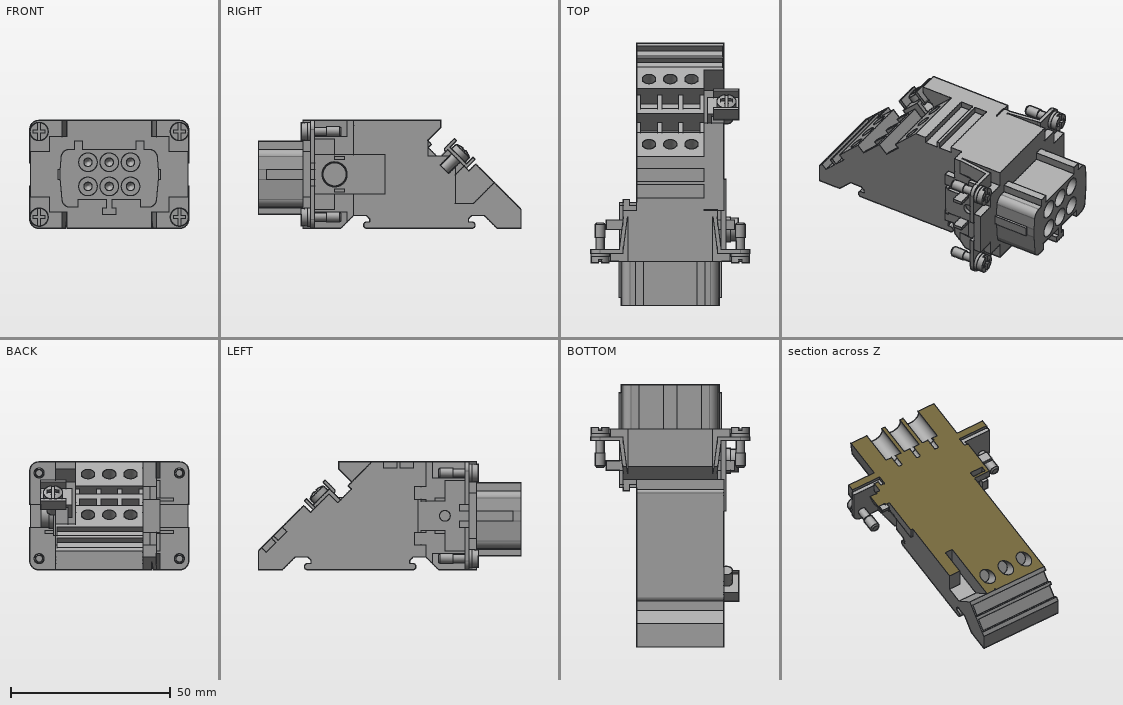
import cadquery as cq
import math

length = 82.5
height = 34.0
mid_z = height / 2
clear = 16.5

terminal_half = 10.6
housing_right = 16.8
slope_foot_z = 6.0
earth_block_back = 57.3
pole_pitch = 6.7
poles_x = (-pole_pitch, 0, pole_pitch)
lower_step_s = 20.1
middle_step_s = 28.3
upper_step_s = 34.3
lower_n = -3.05
middle_n = -6.9
upper_n = -5.45
window_width = 5.3
window_depth = 3.9
lower_window_length = 5.85
wire_hole_dia = 4.2
wire_hole_depth = 8.25

notch_height = 4.05
notch_bevel = 1.0
hook_height = 2.1
hook_radius = hook_height / 2

insert_half = 14.8
insert_back = 29.9
insert_front = 13.95
insert_bevel = 4.05
centre_half = 13.3
strip_slot_back = 27.9
strip_slot_depth = 5.1
flange_back = 16.4
flange_half = 24.75
flange_half_z = 7.2
step_half = 18.8
step_half_z = 11.9

nose_half = 15.4
key_half = 16.2
key_half_z = 1.6
key_front = 2.55
socket_z = (13.2, 20.8)
socket_dia = 5.85
socket_depth = 11.55
contact_dia = 2.6
contact_depth = 4.1

sheet = 1.2
bracket_half = 25.0
bracket_corner = 2.9
bracket_back = flange_back + sheet
leg_outer = insert_half + sheet
leg_back = 32.4
hook_front = 31.4
leg_shoulder = 23.9
leg_half_z = 4.6
shoulder_half_z = 11.05
tab_reach = 20.1
tab_length = 3.05
tab_thickness = 1.0
rivet_hole_dia = 3.4
fixing_x = 22.0
fixing_offset_z = 13.45

earth_floor_n = -9.3
earth_start_s = 11.9
earth_end_s = 36.0
clamp_start_s = 21.3
clamp_end_s = 30.5
clamp_mid_s = (clamp_start_s + clamp_end_s) / 2
support_left = 11.6
clamp_left = 13.5
clamp_right = 21.5
clamp_base_n = -2.0
clamp_sheet = 1.0
earth_screw_x = 17.65


def box(x0, x1, y0, y1, z0, z1):
    """Axis-aligned block between the given limits."""
    return cq.Workplane("XY").box(x1 - x0, y1 - y0, z1 - z0, centered=False).translate((x0, y0, z0))


def mid_box(x0, x1, y0, y1, half_z):
    """Block centred on mid height."""
    return box(x0, x1, y0, y1, mid_z - half_z, mid_z + half_z)


def side_profile(points, x0, x1):
    """Outline of (Y, Z) points extruded from x0 to x1."""
    return cq.Workplane("YZ").workplane(offset=x0).polyline(points).close().extrude(x1 - x0)


def on_slope(s, n):
    """(Y, Z) of a point given along and normal to the wiring face."""
    return (length + (n - s) / math.sqrt(2), slope_foot_z + (n + s) / math.sqrt(2))


def slope_box(x0, x1, s0, s1, n0, n1):
    """Block square to the wiring face."""
    corners = [on_slope(s0, n0), on_slope(s1, n0), on_slope(s1, n1), on_slope(s0, n1)]
    return side_profile(corners, x0, x1)


def slope_plane(x, s, n):
    """Workplane parallel to the wiring face, facing outward."""
    y, z = on_slope(s, n)
    return cq.Workplane(cq.Plane(origin=(x, y, z), xDir=(1, 0, 0), normal=(0, 1, 1)))


def front_plane(x, y, z):
    """Workplane facing the mating end."""
    return cq.Workplane(cq.Plane(origin=(x, y, z), xDir=(1, 0, 0), normal=(0, -1, 0)))


def mirrored_x(shape):
    return shape.union(shape.mirror("YZ"))


def mirrored_z(shape):
    return shape.union(shape.mirror("XY", (0, 0, mid_z)))


def cut_cross(head, top_plane, depth):
    """Cut a full slot and a shorter cross slot into a screw head."""
    slot_width = 1.0
    cross_length = 3.7
    head = head.cut(top_plane.rect(slot_width, clear).extrude(-depth))
    return head.cut(top_plane.rect(cross_length, slot_width).extrude(-depth))


earth_floor = on_slope(earth_start_s, earth_floor_n)
earth_roof = on_slope(earth_end_s, upper_n)


def housing_blank():
    """Side outline with the wiring face at the back and the rail foot below."""
    back_notch, back_undercut, back_hook = 75.0, 66.0, 68.1
    front_hook, front_undercut = 33.0, 34.9
    slope_top_z = slope_foot_z + length - earth_block_back
    outline = (
        cq.Workplane("YZ").workplane(offset=-terminal_half)
        .moveTo(length, 0)
        .lineTo(length, slope_foot_z)
        .lineTo(earth_block_back, slope_top_z)
        .lineTo(earth_block_back, height)
        .lineTo(insert_back, height)
        .lineTo(insert_back, notch_height)
        .lineTo(front_undercut - notch_bevel, notch_height)
        .lineTo(front_undercut, notch_height - notch_bevel)
        .lineTo(front_undercut, hook_height)
        .lineTo(front_hook + hook_radius, hook_height)
        .threePointArc((front_hook, hook_radius), (front_hook + hook_radius, 0))
        .lineTo(back_hook - hook_radius, 0)
        .threePointArc((back_hook, hook_radius), (back_hook - hook_radius, hook_height))
        .lineTo(back_undercut, hook_height)
        .lineTo(back_undercut, notch_height - notch_bevel)
        .lineTo(back_undercut + notch_bevel, notch_height)
        .lineTo(back_notch - notch_height, notch_height)
        .lineTo(back_notch, 0)
        .close()
    )
    return outline.extrude(terminal_half + housing_right)


def cut_wiring_steps(body):
    """Step the wiring face down over the terminals."""
    steps = (
        (lower_step_s, middle_step_s, lower_n),
        (middle_step_s, upper_step_s, middle_n),
        (upper_step_s, upper_step_s + clear, upper_n),
    )
    for start_s, end_s, floor_n in steps:
        body = body.cut(slope_box(-terminal_half, terminal_half, start_s, end_s, floor_n, clear))
    return body


def cut_earth_recess(body):
    """Flat-floored recess that opens to the wiring face and to the +X side."""
    floor_y, floor_z = earth_floor
    roof_y, roof_z = earth_roof
    outline = [
        on_slope(earth_start_s, clear),
        (floor_y, floor_z),
        (roof_y, floor_z),
        (roof_y, roof_z),
        on_slope(earth_end_s, clear),
    ]
    return body.cut(side_profile(outline, terminal_half, housing_right))


def cut_terminals(body):
    """Screw windows on the two lower steps and a wire hole beside each one."""
    windows = (
        (lower_step_s, lower_step_s + lower_window_length, lower_n),
        (middle_step_s, upper_step_s, middle_n),
    )
    lower_hole_s, upper_hole_s = 16.0, 39.5
    wire_holes = ((lower_hole_s, 0), (upper_hole_s, upper_n))
    for x in poles_x:
        left, right = x - window_width / 2, x + window_width / 2
        for start_s, end_s, level_n in windows:
            body = body.cut(slope_box(left, right, start_s, end_s, level_n - window_depth, level_n))
        for hole_s, level_n in wire_holes:
            hole = slope_plane(x, hole_s, level_n).circle(wire_hole_dia / 2).extrude(-wire_hole_depth)
            body = body.cut(hole)
    return body


def cut_label_grooves(body):
    """Two label grooves on the wiring face and two on the top."""
    slope_groove_end = 16.3
    slope_groove_depth = 2.1
    for start_s, end_s in ((1.4, 5.7), (6.7, 10.6)):
        body = body.cut(
            slope_box(-terminal_half, slope_groove_end, start_s, end_s, -slope_groove_depth, 0)
        )
    top_groove_depth = 2.0
    top_groove_width = 4.2
    for front_y in (33.8, 38.9):
        body = body.cut(
            box(-terminal_half, terminal_half, front_y, front_y + top_groove_width,
                height - top_groove_depth, height)
        )
    return body


def insert_body():
    """Block carrying the contacts, with slots for the bracket strips."""
    body = box(-insert_half, insert_half, insert_front, insert_back, 0, height)
    strip_slot = box(centre_half, insert_half, insert_front, strip_slot_back,
                     height - strip_slot_depth, height)
    body = body.cut(mirrored_z(mirrored_x(strip_slot)))
    body = body.union(mid_box(-step_half, step_half, insert_front, flange_back, step_half_z))
    return body.union(mid_box(-flange_half, flange_half, insert_front, flange_back, flange_half_z))


def rail_bevel():
    """Cutter for the bottom rear edge of the insert and its bracket strips."""
    corner = [(insert_back, 0), (insert_back, insert_bevel), (insert_back - insert_bevel, 0)]
    return side_profile(corner, -leg_outer, leg_outer)


def latch_tabs():
    """Rear catches on the -X side, above and below the bracket leg."""
    catch_right, catch_back = -12.8, 33.4
    catch_bottom, catch_top = 22.2, 26.15
    catch = box(-insert_half, catch_right, insert_back, catch_back, catch_bottom, catch_top)
    bridge = box(-insert_half, -terminal_half, insert_back, hook_front, catch_bottom, catch_top)
    return mirrored_z(catch.union(bridge))


def seam_groove():
    """Narrow gap in the top between the insert and the housing's earth side."""
    gap, depth = 0.3, 1.65
    return box(terminal_half, insert_half, insert_back, insert_back + gap, height - depth, height)


def nose():
    """Mating end: faceted flanks, rounded corners and coding features."""
    top_z, bottom_z = 24.8, 6.7
    top_x, bottom_x = 12.6, 12.4
    shoulder_x, shoulder_z = 15.1, 22.6
    bilge_x, bilge_z = 14.85, 9.1
    bend = 0.75
    flank_low, flank_high = mid_z - key_half_z, mid_z + key_half_z
    upper_mid = (shoulder_x - bend, top_z - bend)
    lower_mid = (bilge_x - bend, bottom_z + bend)
    outline = (
        cq.Workplane("XZ")
        .moveTo(-bottom_x, bottom_z)
        .lineTo(bottom_x, bottom_z)
        .threePointArc(lower_mid, (bilge_x, bilge_z))
        .lineTo(nose_half, flank_low)
        .lineTo(nose_half, flank_high)
        .lineTo(shoulder_x, shoulder_z)
        .threePointArc(upper_mid, (top_x, top_z))
        .lineTo(-top_x, top_z)
        .threePointArc((-upper_mid[0], upper_mid[1]), (-shoulder_x, shoulder_z))
        .lineTo(-nose_half, flank_high)
        .lineTo(-nose_half, flank_low)
        .lineTo(-bilge_x, bilge_z)
        .threePointArc((-lower_mid[0], lower_mid[1]), (-bottom_x, bottom_z))
        .close()
    )
    body = outline.extrude(-insert_front)

    rib_inner, rib_outer, rib_top = 8.3, 10.9, 27.4
    body = body.union(mirrored_x(box(rib_inner, rib_outer, 0, insert_front, mid_z, rib_top)))
    body = body.union(mid_box(-key_half, key_half, key_front, insert_front, key_half_z))

    recess_half, recess_roof = 9.8, 9.15
    body = body.cut(box(-recess_half, recess_half, 0, insert_front, 0, recess_roof))
    stem_half, stem_foot = 0.8, 6.4
    foot_half, foot_bottom = 2.15, 4.45
    body = body.union(box(-stem_half, stem_half, 0, insert_front, stem_foot, recess_roof))
    return body.union(box(-foot_half, foot_half, 0, insert_front, foot_bottom, stem_foot))


def cut_sockets(body):
    """Six contact cavities, each with a cone-ended pin hole in its floor."""
    cone_length = contact_dia / 2
    for x in poles_x:
        for z in socket_z:
            cavity = front_plane(x, 0, z).circle(socket_dia / 2).extrude(-socket_depth)
            pin_hole = (
                cq.Workplane("XY")
                .lineTo(contact_dia / 2, 0)
                .lineTo(contact_dia / 2, contact_depth)
                .lineTo(0, contact_depth + cone_length)
                .close()
                .revolve(360, (0, 0, 0), (0, 1, 0))
                .translate((x, socket_depth, z))
            )
            body = body.cut(cavity).cut(pin_hole)
    return body


def bracket():
    """Bent bracket for the +X side: screw plate, leg, spring strips and tabs."""
    plate_notch_half_z = 3.6
    relief_length = 2.9
    relief_inner_z = 1.6
    plate = box(insert_half, bracket_half, flange_back, bracket_back, 0, height)
    plate = plate.edges("|Y and >X").fillet(bracket_corner)
    plate = plate.cut(
        mid_box(leg_outer, bracket_half, flange_back, bracket_back, plate_notch_half_z)
    )

    leg = mid_box(insert_half, leg_outer, flange_back, leg_back, leg_half_z)
    leg = leg.union(mid_box(insert_half, leg_outer, flange_back, leg_shoulder, shoulder_half_z))
    rivet_hole = (
        cq.Workplane("YZ").workplane(offset=insert_half)
        .center(leg_shoulder, mid_z)
        .circle(rivet_hole_dia / 2)
        .extrude(sheet)
    )
    relief = box(insert_half, leg_outer, flange_back, flange_back + relief_length,
                 mid_z + relief_inner_z, mid_z + plate_notch_half_z)
    reliefs = mirrored_z(relief)

    strip_tip = 13.45
    strip_outline = [
        (insert_half, flange_back),
        (leg_outer, flange_back),
        (leg_outer, bracket_back),
        (strip_tip + sheet, strip_slot_back),
        (strip_tip, strip_slot_back),
        (insert_half, bracket_back),
    ]
    strip = (
        cq.Workplane("XY").workplane(offset=height - strip_slot_depth)
        .polyline(strip_outline).close()
        .extrude(strip_slot_depth)
    )
    tab_z = mid_z + leg_half_z
    tab = box(insert_half, tab_reach, leg_shoulder, leg_shoulder + tab_length,
              tab_z, tab_z + tab_thickness)
    body = plate.union(leg).cut(rivet_hole).cut(reliefs)
    return body.union(mirrored_z(strip.union(tab)))


def leg_hook():
    """Rear end of the -X leg, bent inward behind the insert."""
    hook_half_z = 5.2
    return mid_box(-leg_outer, -terminal_half, hook_front, leg_back, hook_half_z)


def fixing_screw(x, z):
    """Flange screw: slotted head, washer, waisted shank and threaded end."""
    head_dia, head_front = 5.6, 13.45
    washer_dia, washer_front = 5.8, 15.4
    shank_dia, thread_dia = 2.6, 3.1
    thread_start, tip_y = 21.45, 26.0
    tip_bevel = 0.5
    slot_depth = 1.1
    head = front_plane(x, flange_back, z).circle(head_dia / 2).extrude(flange_back - head_front)
    head = cut_cross(head, front_plane(x, head_front, z), slot_depth)
    washer = front_plane(x, flange_back, z).circle(washer_dia / 2).extrude(flange_back - washer_front)
    shank = front_plane(x, thread_start, z).circle(shank_dia / 2).extrude(thread_start - flange_back)
    thread = front_plane(x, tip_y, z).circle(thread_dia / 2).extrude(tip_y - thread_start)
    return head.union(washer).union(shank).union(thread.faces(">Y").chamfer(tip_bevel))


def earth_support():
    """Web beside the pedestal that carries the clamp in the recess."""
    pedestal_left = 12.95
    support_bottom_n = -7.4
    pedestal_back, pedestal_top = 61.9, 22.8
    pedestal_front, floor_z = earth_roof[0], earth_floor[1]
    support = slope_box(support_left, pedestal_left, clamp_start_s + clamp_sheet,
                        clamp_end_s - clamp_sheet, support_bottom_n, clamp_base_n)
    pedestal = box(pedestal_left, housing_right, pedestal_front, pedestal_back,
                   floor_z, pedestal_top)
    return support.union(pedestal)


def earth_clamp():
    """U-shaped clamp, its base reaching over the support, set square to the wiring face."""
    top_n, upper_wall_n = 0.9, -4.0
    lip_radius = 0.7
    base = slope_box(support_left, clamp_right, clamp_start_s + clamp_sheet,
                     clamp_end_s - clamp_sheet, lower_n, clamp_base_n)
    lower_wall = slope_box(clamp_left, clamp_right, clamp_start_s, clamp_start_s + clamp_sheet,
                           lower_n, top_n)
    upper_wall = slope_box(clamp_left, clamp_right, clamp_end_s - clamp_sheet, clamp_end_s,
                           upper_wall_n, top_n)
    upper_wall = upper_wall.edges("|X").edges("<Y").fillet(lip_radius)
    return base.union(lower_wall).union(upper_wall)


def earth_screw():
    """Domed screw through the clamp and its support."""
    head_dia, head_height, dome_height = 6.0, 2.8, 0.8
    slot_depth = 1.2
    shank_dia, shank_tip_n = 3.8, -8.2
    head_radius = head_dia / 2
    dome_radius = (head_radius ** 2 + dome_height ** 2) / (2 * dome_height)
    top_n = clamp_base_n + head_height
    head = slope_plane(earth_screw_x, clamp_mid_s, clamp_base_n).circle(head_radius).extrude(head_height)
    head = head.intersect(slope_plane(earth_screw_x, clamp_mid_s, top_n - dome_radius).sphere(dome_radius))
    head = cut_cross(head, slope_plane(earth_screw_x, clamp_mid_s, top_n), slot_depth)
    shank = (
        slope_plane(earth_screw_x, clamp_mid_s, shank_tip_n)
        .circle(shank_dia / 2)
        .extrude(clamp_base_n - shank_tip_n)
    )
    return head.union(shank)


def earth_strip():
    """Earthing plate on the +X side, with the screw that joins it to the leg."""
    plate_right = 17.6
    plate_back, plate_half_z = 39.8, 6.2
    plate = mid_box(leg_outer, plate_right, bracket_back, plate_back, plate_half_z)
    axis = cq.Workplane("YZ").workplane(offset=leg_outer).center(leg_shoulder, mid_z)
    washer_dia, washer_right = 7.9, 18.9
    head_dia, head_right = 7.3, 21.4
    washer = axis.circle(washer_dia / 2).extrude(washer_right - leg_outer)
    head = axis.circle(head_dia / 2).extrude(head_right - leg_outer)
    return plate.union(washer).union(head)


result = cut_label_grooves(cut_terminals(cut_earth_recess(cut_wiring_steps(housing_blank()))))
result = result.union(insert_body()).union(latch_tabs())
result = cut_sockets(result.union(nose()))
result = result.union(mirrored_x(bracket())).union(leg_hook())
result = result.cut(rail_bevel()).cut(seam_groove())
for screw_x in (-fixing_x, fixing_x):
    for screw_z in (mid_z - fixing_offset_z, mid_z + fixing_offset_z):
        result = result.union(fixing_screw(screw_x, screw_z))
for feature in (earth_support(), earth_clamp(), earth_screw(), earth_strip()):
    result = result.union(feature)